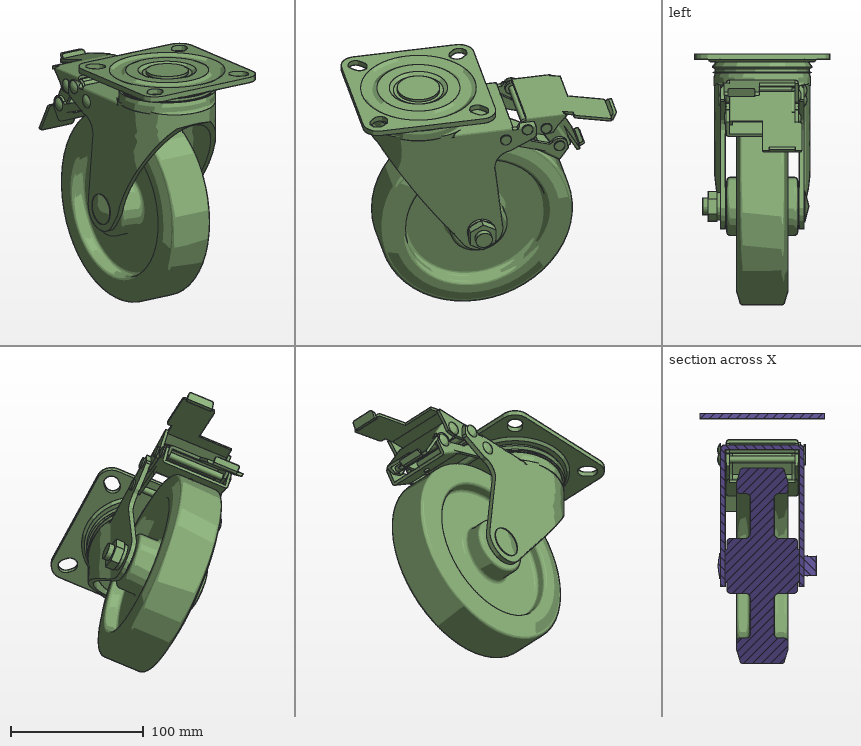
import cadquery as cq
import math


overshoot = 119.0

plate_width = 102.0
plate_thickness = 4.2
plate_corner = 11.5
slot_offset = 38.7
slot_length = 14.9
slot_width = 11.5
groove_depth = 2.0
groove_fillet = 1.4
outer_groove_radii = (43.6, 40.5, 34.5, 31.3)
inner_groove_radii = (22.0, 18.8)
disc_radius = 16.0

boss_top_radius = 41.2
boss_bottom_radius = 39.0
boss_bottom = -6.1
cover_top_radius = 34.9
cover_radius = 37.7
cover_edge_z = -10.0
bearing_split = -11.5
bearing_neck = 35.5
race_shoulder = -18.0
race_radius = 36.5
race_foot = 2.0
seal_radius = 37.3
seal_z = -14.0
seal_half_height = 0.4

axle_x = -41.2
axle_z = -115.0
wheel_radius = 74.4
wheel_half_width = 19.5
tread_half_width = 14.7
tyre_inner_radius = 64.0
shoulder_radius = 71.5
shoulder_half_width = 17.0
shoulder_easing = 0.8
rim_radius = 54.7
rim_fillet = 3.0
web_half_width = 9.1
hub_radius = 22.0
hub_half_width = 26.8
hub_root_fillet = 3.8
hub_end_fillet = 2.8
spacer_radius = 14.3

fork_half_width = 31.5
fork_inner = 27.8
fork_thickness = fork_half_width - fork_inner
fork_top = -23.8
cheek_top = -27.0
cheek_bend = 3.4
bridge_front = -66.0
cheek_foot_radius = 17.0
front_edge_rise = 2.0
pivot_lobe_radius = 7.0
rear_edge_tilt = math.radians(35)
head_center_x = -1.0
head_length_radius = 39.3
head_back_x = head_center_x + head_length_radius
head_width_radius = 36.0
head_blend = 1.0

shaft_radius = 6.3
bolt_head_radius = 11.7
bolt_head_rim = 0.5
bolt_head_height = 3.8
washer_radius = 10.3
washer_thickness = 2.5
nut_corners = 22.6
nut_thickness = 6.7
bolt_tip = 4.2

sheet = 2.4
outer_channel = 27.2
inner_channel = outer_channel - sheet
rivet_shaft = 2.5
rivet_radius = 5.2
rivet_dome = 2.2
rivet_tail_radius = 4.2
rivet_tail = 1.2
pedal_pivot = (-77.3, -27.8)
shoe_pivot = (-60.7, -34.7)
link_pivot = (-92.8, -31.5)
link_foot = (-103.0, -48.8)
pivot_lug = 5.2
lug_radius = 6.3

pedal_top = -19.8
pedal_bend_x = -105.9
pedal_tip = (-143.0, -29.0)
pedal_slope = math.atan2(pedal_top - pedal_tip[1], pedal_bend_x - pedal_tip[0])
pedal_neck_x = -114.6
pedal_right = 29.0
pedal_left = 2.2
lip_right = 26.0
lip_left = 5.5
handle_corner = 1.8
handle_overlap = 0.5
lip_corner = 1.8

lower_top = (-100.3, -28.4)
lower_tip = (-124.7, -73.0)
lower_length = math.hypot(lower_top[0] - lower_tip[0], lower_top[1] - lower_tip[1])
lower_down = ((lower_tip[0] - lower_top[0]) / lower_length, (lower_tip[1] - lower_top[1]) / lower_length)
lower_inward = (-lower_down[1], lower_down[0])
lower_plate_length = 25.4
lower_handle_start = 17.8
lower_neck_z = -51.5
lower_handle_near = -30.0
lower_lip_near = -25.0
lower_lip_far = -5.2

shoe_toe = (-102.5, -62.5)
shoe_heel = (-83.0, -49.4)
shoe_floor_length = 18.5
shoe_length = math.hypot(shoe_heel[0] - shoe_toe[0], shoe_heel[1] - shoe_toe[1])
shoe_along = ((shoe_heel[0] - shoe_toe[0]) / shoe_length, (shoe_heel[1] - shoe_toe[1]) / shoe_length)
shoe_up = (-shoe_along[1], shoe_along[0])
stud_distance = 9.3
stud_radius = 2.0
stud_height = 1.5


def shifted(point, direction, distance):
    """The XZ point moved along a unit direction."""
    return (point[0] + distance * direction[0], point[1] + distance * direction[1])


def midpoint(start, end):
    return ((start[0] + end[0]) / 2, (start[1] + end[1]) / 2)


def slab(points, y_low, y_high):
    """An XZ outline extruded between two Y positions."""
    return cq.Workplane("XZ", origin=(0, y_high, 0)).polyline(points).close().extrude(y_high - y_low)


def cylinder_y(center, radius, y_low, y_high):
    """A cylinder parallel to Y around an XZ point."""
    start = cq.Workplane("XZ", origin=(center[0], y_high, center[1]))
    return start.circle(radius).extrude(y_high - y_low)


def ring_z(points):
    """An outline of (radius, Z) points revolved around the swivel axis."""
    return cq.Workplane("XZ").polyline(points).close().revolve(360, (0, 0, 0), (0, 1, 0))


def channel(profile, lugs, cavity, half_width, bend):
    """A folded sheet: a filled side outline, rounded along the fold and hollowed out inside."""
    body = slab(profile, -half_width, half_width)
    for side in (-1, 1):
        fold = cq.selectors.NearestToPointSelector((bend[0], side * half_width, bend[1]))
        body = body.edges(fold).fillet(sheet)
    for center, radius in lugs:
        body = body.union(cylinder_y(center, radius, -half_width, half_width))
    inner = half_width - sheet
    return body.cut(slab(cavity, -inner, inner))


def lip(points, end, y_low, y_high):
    """A curled handle edge with its two free corners rounded; `end` is the XZ middle of the free edge."""
    body = slab(points, y_low, y_high)
    for y in (y_low, y_high):
        corner = cq.selectors.NearestToPointSelector((end[0], y, end[1]))
        body = body.edges(corner).fillet(lip_corner)
    return body


def rivet(center, half_width):
    """A rivet across the brake: domed at -Y, flat tail at +Y."""
    body = cylinder_y(center, rivet_shaft, -half_width, half_width)
    body = body.union(cylinder_y(center, rivet_tail_radius, half_width, half_width + rivet_tail))
    sphere = (rivet_radius**2 + rivet_dome**2) / (2 * rivet_dome)
    half_angle = math.asin(rivet_radius / sphere) / 2
    arc_middle = (sphere * math.sin(half_angle), sphere * (1 - math.cos(half_angle)) - rivet_dome)
    dome = (
        cq.Workplane("XY", origin=(center[0], -half_width, center[1]))
        .lineTo(rivet_radius, 0)
        .threePointArc(arc_middle, (0, -rivet_dome))
        .close()
        .revolve(360, (0, 0, 0), (0, 1, 0))
    )
    return body.union(dome)


def make_top_plate():
    plate = cq.Workplane("XY").rect(plate_width, plate_width).extrude(-plate_thickness)
    plate = plate.edges("|Z").fillet(plate_corner)
    for angle in (45, 135, 225, 315):
        x = math.copysign(slot_offset, math.cos(math.radians(angle)))
        y = math.copysign(slot_offset, math.sin(math.radians(angle)))
        slot = cq.Workplane("XY", origin=(x, y, 0)).transformed(rotate=(0, 0, angle))
        plate = plate.cut(slot.slot2D(slot_length, slot_width).extrude(-plate_thickness))
    boss_and_cover = ring_z([
        (0, -plate_thickness), (boss_top_radius, -plate_thickness), (boss_bottom_radius, boss_bottom),
        (cover_top_radius, boss_bottom), (cover_radius, cover_edge_z),
        (bearing_neck, bearing_split), (0, bearing_split),
    ])
    plate = plate.union(boss_and_cover)
    top_out, floor_out, floor_in, top_in = outer_groove_radii
    outer_groove = ring_z([(top_out, 0), (floor_out, -groove_depth), (floor_in, -groove_depth), (top_in, 0)])
    top_out, floor_out = inner_groove_radii
    inner_groove = ring_z([
        (top_out, 0), (floor_out, -groove_depth), (disc_radius, -groove_depth), (disc_radius, 0),
    ])
    outer_groove = outer_groove.edges("<Z").fillet(groove_fillet)
    return plate.cut(outer_groove).cut(inner_groove)


def fork_side_outline():
    """Cheek, bridge and head seen along Y, as one filled solid."""
    foot_left = (axle_x - cheek_foot_radius, axle_z + front_edge_rise)
    foot_right = (
        axle_x + cheek_foot_radius * math.cos(rear_edge_tilt),
        axle_z - cheek_foot_radius * math.sin(rear_edge_tilt),
    )
    lobe_front = pedal_pivot[0] - pivot_lobe_radius
    return (
        cq.Workplane("XZ", origin=(0, overshoot / 2, 0))
        .moveTo(*foot_left)
        .lineTo(-52.7, -62.3)
        .threePointArc((-54.5, -51.4), (-64.2, -45.5))
        .lineTo(-83.0, -36.0)
        .lineTo(lobe_front, -34.3)
        .lineTo(lobe_front, pedal_pivot[1])
        .threePointArc((pedal_pivot[0], pedal_pivot[1] + pivot_lobe_radius), (-71.2, -25.0))
        .lineTo(-70.0, cheek_top)
        .lineTo(bridge_front, cheek_top)
        .lineTo(bridge_front, fork_top)
        .lineTo(head_back_x, fork_top)
        .lineTo(head_back_x, -32.5)
        .threePointArc((36.5, -33.7), (34.5, -34.7))
        .lineTo(*foot_right)
        .threePointArc((axle_x, axle_z - cheek_foot_radius), foot_left)
        .close()
        .extrude(overshoot)
    )


def fork_plan(half_width, length_radius, width_radius, top):
    """Straight channel that opens into the oval head, reaching down from the given height."""
    middle = (-overshoot / 2, 0, top)
    channel_part = cq.Workplane("XY", origin=middle).rect(overshoot, 2 * half_width)
    head = cq.Workplane("XY", origin=(head_center_x, 0, top)).ellipse(length_radius, width_radius)
    return channel_part.extrude(-overshoot), head.extrude(-overshoot)


def head_blend_strips():
    """Narrow facets easing the flat cheeks into the oval head."""

    def head_y(x):
        return head_width_radius * math.sqrt(1 - ((x - head_center_x) / head_length_radius) ** 2)

    corner_x = head_center_x - head_length_radius * math.sqrt(1 - (fork_half_width / head_width_radius) ** 2)
    start_x = corner_x - head_blend
    end_x = corner_x + head_blend
    facet = [(start_x, fork_half_width), (end_x, head_y(end_x)), (end_x, fork_inner), (start_x, fork_inner)]
    strip = cq.Workplane("XY", origin=(0, 0, cheek_top)).polyline(facet).close().extrude(axle_z - cheek_top)
    return strip.union(strip.mirror("XZ"))


def make_race():
    """Bearing ring with a thin seal lip; its foot flares onto the fork's top."""
    race = ring_z([
        (0, bearing_split), (bearing_neck, bearing_split), (bearing_neck, seal_z + seal_half_height),
        (seal_radius, seal_z), (bearing_neck, seal_z - seal_half_height), (race_radius, race_shoulder),
        (race_radius, fork_top), (0, fork_top),
    ])
    flare_middle = race_foot * (1 - math.sqrt(0.5))
    foot = (
        cq.Workplane("XZ")
        .moveTo(bearing_neck, fork_top)
        .lineTo(bearing_neck, fork_top + race_foot)
        .lineTo(race_radius, fork_top + race_foot)
        .threePointArc(
            (race_radius + flare_middle, fork_top + flare_middle), (race_radius + race_foot, fork_top)
        )
        .close()
        .revolve(360, (0, 0, 0), (0, 1, 0))
    )
    straight, head = fork_plan(fork_inner, head_length_radius, head_width_radius, fork_top + race_foot)
    return race.union(foot.intersect(straight.union(head)))


def make_fork():
    straight, head = fork_plan(fork_half_width, head_length_radius, head_width_radius, fork_top)
    straight = straight.edges(">Z and |X").fillet(cheek_bend)
    shell = straight.union(head).union(head_blend_strips())
    fork = fork_side_outline().intersect(shell)
    hollow_straight, hollow_head = fork_plan(
        fork_inner,
        head_length_radius - fork_thickness,
        head_width_radius - fork_thickness,
        fork_top - fork_thickness,
    )
    fork = fork.cut(hollow_straight).cut(hollow_head)
    pedal_opening = cq.Workplane("XY").box(overshoot, 2 * fork_inner, overshoot, centered=(False, True, True))
    fork = fork.cut(pedal_opening.translate((bridge_front - overshoot, 0, 0)))
    fork = fork.union(make_race())
    fork = fork.cut(cylinder_y((axle_x, axle_z), shaft_radius, -fork_half_width, fork_half_width))
    for pivot in (pedal_pivot, shoe_pivot):
        fork = fork.cut(cylinder_y(pivot, rivet_shaft, -fork_half_width, fork_half_width))
    return fork


def circle_at(radius, y):
    """Selects the circular edge of that radius around the Y axis."""
    margin = 0.2
    outside, inside = radius + margin, radius - margin
    around = cq.selectors.BoxSelector(
        (-outside, y - margin, -outside), (outside, y + margin, outside), boundingbox=True
    )
    within = cq.selectors.BoxSelector(
        (-inside, y - margin, -inside), (inside, y + margin, inside), boundingbox=True
    )
    return around - within


def make_wheel():
    """Tyre, rim, web and hub revolved around Y; the outline lists (radius, Y)."""
    half = [
        (shaft_radius, fork_inner), (spacer_radius, fork_inner), (spacer_radius, hub_half_width),
        (hub_radius, hub_half_width), (hub_radius, web_half_width), (rim_radius, web_half_width),
        (rim_radius, wheel_half_width), (tyre_inner_radius, wheel_half_width),
        (shoulder_radius, shoulder_half_width),
    ]
    shoulder_middle = (wheel_radius - shoulder_easing, shoulder_half_width - shoulder_easing)
    wheel = (
        cq.Workplane("XY")
        .polyline(half)
        .threePointArc(shoulder_middle, (wheel_radius, tread_half_width))
        .lineTo(wheel_radius, -tread_half_width)
        .threePointArc((shoulder_middle[0], -shoulder_middle[1]), (shoulder_radius, -shoulder_half_width))
    )
    for radius, y in reversed(half[:-1]):
        wheel = wheel.lineTo(radius, -y)
    wheel = wheel.close().revolve(360, (0, 0, 0), (0, 1, 0))
    for side in (-1, 1):
        wheel = wheel.edges(circle_at(hub_radius, side * hub_half_width)).fillet(hub_end_fillet)
        wheel = wheel.edges(circle_at(hub_radius, side * web_half_width)).fillet(hub_root_fillet)
        wheel = wheel.edges(circle_at(rim_radius, side * web_half_width)).fillet(rim_fillet)
        wheel = wheel.edges(circle_at(rim_radius, side * wheel_half_width)).fillet(rim_fillet)
    return wheel.translate((axle_x, 0, axle_z))


def make_axle():
    center = (axle_x, axle_z)
    washer_end = fork_half_width + washer_thickness
    nut_end = washer_end + nut_thickness
    axle = cylinder_y(center, shaft_radius, -fork_half_width, nut_end + bolt_tip)
    axle = axle.union(cylinder_y(center, washer_radius, fork_half_width, washer_end))
    nut = cq.Workplane("XZ", origin=(axle_x, nut_end, axle_z)).transformed(rotate=(0, 0, 90))
    axle = axle.union(nut.polygon(6, nut_corners).extrude(nut_thickness))
    head = (
        cq.Workplane("XY", origin=(axle_x, -fork_half_width, axle_z))
        .polyline([(0, 0), (bolt_head_radius, 0), (bolt_head_radius, -bolt_head_rim), (0, -bolt_head_height)])
        .close()
        .revolve(360, (0, 0, 0), (0, 1, 0))
    )
    return axle.union(head)


def make_upper_pedal():
    profile = [
        (pedal_bend_x, pedal_top), (pedal_pivot[0], pedal_top), (pedal_pivot[0], -33.0), (-83.3, -35.7),
        (-91.2, -37.3), (-98.0, -36.5), (-101.5, -30.7), (-108.7, -22.5),
    ]
    cavity_top = pedal_top - sheet
    cavity = [
        (-overshoot, cavity_top), (0, cavity_top),
        (0, cavity_top - overshoot), (-overshoot, cavity_top - overshoot),
    ]
    fold_middle = midpoint(profile[0], profile[1])
    pedal = channel(profile, [(pedal_pivot, pivot_lug)], cavity, outer_channel, fold_middle)

    drop = sheet / math.cos(pedal_slope)
    bar = slab(
        [
            (pedal_bend_x, pedal_top), pedal_tip, (pedal_tip[0], pedal_tip[1] - drop),
            (pedal_bend_x, pedal_top - drop),
        ],
        -outer_channel,
        pedal_right,
    )
    neck = cq.Workplane("XY").box(
        pedal_bend_x - pedal_neck_x, 2 * inner_channel, overshoot, centered=(False, True, True)
    ).translate((pedal_neck_x, 0, 0))
    handle_length = pedal_neck_x + handle_overlap - pedal_tip[0]
    handle = cq.Workplane("XY").box(
        handle_length, pedal_right - pedal_left, overshoot, centered=(False, False, True)
    ).edges("|Z and (<X or >Y)").fillet(handle_corner).translate((pedal_tip[0], pedal_left, 0))
    pedal = pedal.union(bar.intersect(neck.union(handle)))

    curl = [(-147.3, -26.0), (-145.0, -26.0), (-142.8, -29.1), (-141.2, -29.7), (-141.8, -31.7), (-144.3, -32.3)]
    pedal = pedal.union(lip(curl, midpoint(curl[0], curl[1]), lip_left, lip_right))
    pedal = pedal.union(rivet(link_pivot, outer_channel))
    return pedal.union(rivet(pedal_pivot, fork_half_width))


def make_lower_pedal():
    neck_point = shifted(lower_top, lower_down, lower_plate_length)
    profile = [
        lower_top, neck_point, (-105.0, -53.5), (-97.7, -50.5), (-95.8, -46.2), (-90.5, -37.3), (-88.2, -29.7),
        (-92.8, -25.8),
    ]
    inside_top = shifted(shifted(lower_top, lower_inward, sheet), lower_down, -overshoot)
    inside_foot = shifted(inside_top, lower_down, 2 * overshoot)
    cavity = [
        inside_top, inside_foot, shifted(inside_foot, lower_inward, overshoot),
        shifted(inside_top, lower_inward, overshoot),
    ]
    pedal = channel(profile, [], cavity, inner_channel, midpoint(lower_top, neck_point))

    handle_top = shifted(lower_top, lower_down, lower_handle_start)
    inner_tip = shifted(lower_tip, lower_inward, sheet)
    bar = slab(
        [handle_top, lower_tip, inner_tip, shifted(handle_top, lower_inward, sheet)],
        lower_handle_near,
        0,
    )
    handle = (
        cq.Workplane("YZ", origin=(pedal_tip[0], 0, 0))
        .moveTo(lower_handle_near, lower_neck_z)
        .lineTo(lower_handle_near, inner_tip[1])
        .lineTo(0, inner_tip[1])
        .lineTo(0, handle_top[1])
        .lineTo(-inner_channel, handle_top[1])
        .lineTo(-inner_channel, lower_neck_z)
        .close()
        .extrude(overshoot)
        .edges("|X and (<Z or <Y)")
        .fillet(handle_corner)
    )
    pedal = pedal.union(bar.intersect(handle))
    curl = [(-129.3, -72.0), (-128.0, -70.2), (-125.3, -71.4), lower_tip, inner_tip, (-125.0, -74.2)]
    return pedal.union(lip(curl, midpoint(curl[0], curl[1]), lower_lip_near, lower_lip_far))


def make_shoe():
    profile = [
        shoe_toe, shoe_heel, (-67.6, -44.0), (-57.5, -39.7), (-57.5, -30.7), (-64.5, -29.7), (-77.7, -38.7),
        (-81.7, -42.0), (-95.2, -46.8), (-99.1, -44.5), (-108.0, -45.2), (-110.0, -51.5),
    ]
    floor_toe = shifted(shoe_toe, shoe_up, sheet)
    floor_front = shifted(floor_toe, shoe_along, -overshoot)
    floor_end = shifted(floor_toe, shoe_along, shoe_floor_length)
    below_end = shifted(floor_end, shoe_up, -overshoot)
    cavity = [
        floor_front, floor_end, below_end, shifted(below_end, shoe_along, overshoot),
        shifted(shifted(floor_end, shoe_along, overshoot), shoe_up, overshoot),
        shifted(floor_front, shoe_up, overshoot),
    ]
    shoe = channel(profile, [(link_foot, lug_radius)], cavity, outer_channel, midpoint(shoe_toe, shoe_heel))
    stud_base = shifted(shoe_toe, shoe_along, stud_distance)
    stud = cq.Solid.makeCylinder(
        stud_radius,
        stud_height,
        cq.Vector(stud_base[0], 0, stud_base[1]),
        cq.Vector(-shoe_up[0], 0, -shoe_up[1]),
    )
    return shoe.union(cq.Workplane(stud))


def make_brake_lever():
    """Lower pedal and brake shoe, joined by their rivets, free to turn on the upper pedal's rivet."""
    lever = make_shoe().union(make_lower_pedal())
    lever = lever.cut(cylinder_y(link_pivot, rivet_shaft, -outer_channel, outer_channel))
    lever = lever.union(rivet(link_foot, outer_channel))
    return lever.union(rivet(shoe_pivot, fork_half_width))


top_plate = make_top_plate()
fork = make_fork()
wheel = make_wheel()
axle = make_axle()
upper_pedal = make_upper_pedal()
brake_lever = make_brake_lever()

bodies = [top_plate, fork, wheel, axle, upper_pedal, brake_lever]
result = cq.Compound.makeCompound([body.solids().val() for body in bodies])